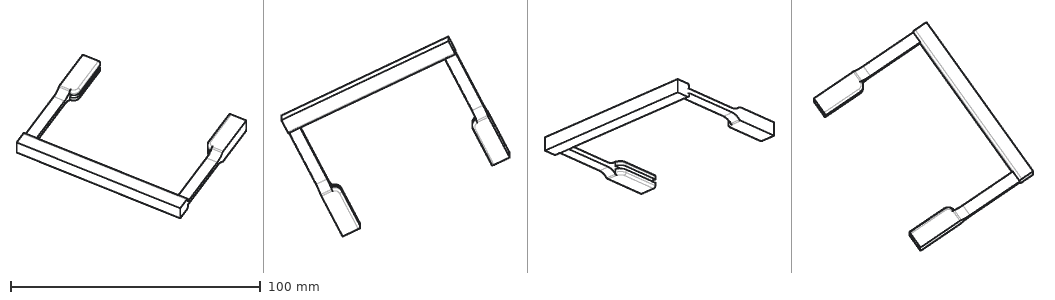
import cadquery as cq
import math

LENGTH = 74.8
DEPTH = 55.0
HEIGHT = 6.0
HALF_HEIGHT = HEIGHT / 2

BEAM_DEPTH = 6.5
EDGE_RADIUS = 1.0

ARM_WIDTH = 5.0
ARM_THICKNESS = 2.0
TRANSITION_START = 30.9
TRANSITION_RADIUS = 6.0

LIP_LENGTH = 20.0
LIP_OVERHANG = 3.0
SLOT_HEIGHT = 1.5


def make_beam():
    """Full-length beam with its two rear edges rounded."""
    beam = cq.Workplane("XY").box(LENGTH, BEAM_DEPTH, HEIGHT, centered=(True, False, True))
    return beam.edges("|X and >Y").fillet(EDGE_RADIUS)


def make_arm():
    """Left arm, swept up and down into its pad by tangent concave arcs."""
    half_arm = ARM_THICKNESS / 2
    arc_angle = math.acos(1 - (HALF_HEIGHT - half_arm) / TRANSITION_RADIUS)

    def arc_point(angle):
        y = TRANSITION_START + TRANSITION_RADIUS * math.sin(angle)
        z = half_arm + TRANSITION_RADIUS * (1 - math.cos(angle))
        return y, z

    mid_y, mid_z = arc_point(arc_angle / 2)
    shoulder_y, shoulder_z = arc_point(arc_angle)
    arm = (
        cq.Workplane("YZ", origin=(-LENGTH / 2, 0, 0))
        .moveTo(0, -half_arm)
        .lineTo(TRANSITION_START, -half_arm)
        .threePointArc((mid_y, -mid_z), (shoulder_y, -shoulder_z))
        .lineTo(DEPTH, -HALF_HEIGHT)
        .lineTo(DEPTH, HALF_HEIGHT)
        .lineTo(shoulder_y, shoulder_z)
        .threePointArc((mid_y, mid_z), (TRANSITION_START, half_arm))
        .lineTo(0, half_arm)
        .close()
        .extrude(ARM_WIDTH)
    )
    shoulder_margin = 0.1
    shoulders = cq.selectors.BoxSelector(
        (-LENGTH, shoulder_y - shoulder_margin, -HEIGHT),
        (LENGTH, shoulder_y + shoulder_margin, HEIGHT),
    )
    return arm.edges("|X").edges(shoulders).fillet(EDGE_RADIUS)


def make_lips():
    """Slotted inner flange of the left pad with a rounded front corner."""
    inner_x = -LENGTH / 2 + ARM_WIDTH
    outer_x = inner_x + LIP_OVERHANG
    front_y = DEPTH - LIP_LENGTH
    lips = (
        cq.Workplane("XY", origin=(0, 0, -HALF_HEIGHT))
        .moveTo(inner_x, front_y)
        .radiusArc((outer_x, front_y + LIP_OVERHANG), -LIP_OVERHANG)
        .lineTo(outer_x, DEPTH)
        .lineTo(inner_x, DEPTH)
        .close()
        .extrude(HEIGHT)
    )
    free_edge = cq.selectors.BoxSelector(
        (inner_x + LIP_OVERHANG / 2, 0, -HEIGHT),
        (LENGTH, DEPTH - EDGE_RADIUS, HEIGHT),
    )
    lips = lips.edges("<Z or >Z").edges(free_edge).fillet(EDGE_RADIUS)
    slot = cq.Workplane("XY").box(
        LIP_OVERHANG, LIP_LENGTH, SLOT_HEIGHT, centered=False
    ).translate((inner_x, front_y, -SLOT_HEIGHT / 2))
    return lips.cut(slot)


left_side = make_arm().union(make_lips())
right_side = left_side.mirror("YZ")
result = make_beam().union(left_side).union(right_side)